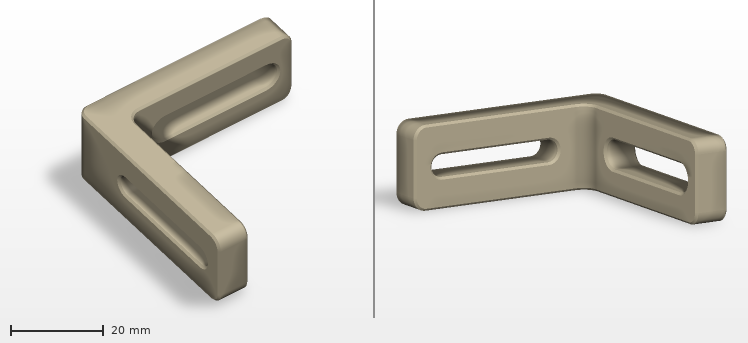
import cadquery as cq

arm_length = 52.0
height = 19.0
thickness = 8.0
corner_radius = 3.0
edge_chamfer = 0.5

x_slot_width = 5.0
x_slot_length = 32.0
x_slot_tip_gap = 4.5
y_slot_width = 6.5
y_slot_length = 33.4
y_slot_tip_gap = 3.85

mid_height = height / 2


def angle_body():
    """L-shaped bar with rounded outer and inner bends."""
    body = (
        cq.Workplane("XY")
        .polyline(
            [
                (0, 0),
                (arm_length, 0),
                (arm_length, thickness),
                (thickness, thickness),
                (thickness, arm_length),
                (0, arm_length),
            ]
        )
        .close()
        .extrude(height)
    )
    for bend in (0, thickness):
        bend_edge = cq.selectors.NearestToPointSelector((bend, bend, mid_height))
        body = body.edges(bend_edge).fillet(corner_radius)
    return body


def round_arm_tips(body):
    """Round the upper and lower corners at the free end of each arm."""
    body = body.faces(">X").edges("|Y").fillet(corner_radius)
    return body.faces(">Y").edges("|X").fillet(corner_radius)


def slot_cutter(plane, length, width, tip_gap, depth):
    """Slot running along an arm, extruded from its outer face by a signed depth."""
    center = arm_length - tip_gap - length / 2
    return cq.Workplane(plane).center(center, mid_height).slot2D(length, width).extrude(depth)


def chamfer_arm_faces(body):
    """Chamfer the outlines and slot mouths on the broad faces of both arms.

    Each chamfer follows its tangent edge loop, so straight edges of the
    loops are enough to select them.
    """
    x_arm_edges = body.faces("|Y exc >Y").edges("|X")
    y_arm_edges = body.faces("|X exc >X").edges("|Y")
    return x_arm_edges.add(y_arm_edges).chamfer(edge_chamfer)


result = round_arm_tips(angle_body())
result = result.cut(slot_cutter("XZ", x_slot_length, x_slot_width, x_slot_tip_gap, -thickness))
result = result.cut(slot_cutter("YZ", y_slot_length, y_slot_width, y_slot_tip_gap, thickness))
result = chamfer_arm_faces(result)